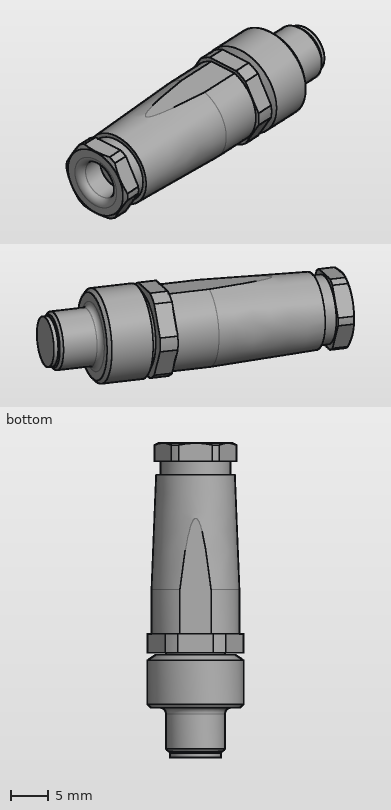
import cadquery as cq

LENGTH = 42.35

CABLE_NUT_TOP = 2.5
SLEEVE_BOTTOM = 4.28
SLEEVE_TAPER_TOP = 19.7
COLLAR_BOTTOM = 25.7
COLLAR_TOP = 28.25
RING_BOTTOM = 28.5
RING_TOP = 35.65
PLUG_TOP = 41.55
RIM_BOTTOM = 41.75

CABLE_NUT_DIA = 11.05
CABLE_NUT_FACE_DIA = 9.9
CABLE_NECK_DIA = 9.5
SLEEVE_SMALL_DIA = 10.65
SLEEVE_DIA = 11.85
COLLAR_DIA = 13.0
RING_DIA = 13.0
RING_BOTTOM_FACE_DIA = 10.75
PLUG_DIA = 8.0
GROOVE_DIA = 6.2
RIM_DIA = 6.9
BORE_DIA = 5.5

CABLE_NUT_FLATS = 10.1
COLLAR_FLATS = 12.1
SLEEVE_FLATS = 11.1

HEXAGON_ANGLES = (0, 60, 120)

CABLE_NUT_CHAMFER_LENGTH = 0.3
RING_BOTTOM_CHAMFER_LENGTH = 0.75
RING_TOP_CHAMFER = 0.5
PLUG_CHAMFER = 0.4
PLUG_ROOT_FILLET = 0.75
BORE_MOUTH_FILLET = 1.0
BORE_DEPTH = 4.0


def cylinder(diameter, start, end):
    """Round bar around the Y axis between two Y positions."""
    plane = cq.Workplane("XZ", origin=(0, start, 0))
    return plane.circle(diameter / 2).extrude(start - end)


def cone(start_diameter, end_diameter, start, end):
    """Truncated cone around the Y axis between two Y positions."""
    outline = [
        (0, start),
        (start_diameter / 2, start),
        (end_diameter / 2, end),
        (0, end),
    ]
    return cq.Workplane("XY").polyline(outline).close().revolve(360, (0, 0), (0, 1))


def flatten(body, across_flats, angles):
    """Keep only the material between a pair of parallel flats at each angle around Y."""
    slab = cq.Workplane("XY").box(2 * RING_DIA, 2 * LENGTH, across_flats)
    for angle in angles:
        body = body.intersect(slab.rotate((0, 0, 0), (0, 1, 0), angle))
    return body


def cable_nut():
    """Hexagon with corners rounded to a cylinder and a conical chamfer on the end."""
    blank = cylinder(CABLE_NUT_DIA, CABLE_NUT_CHAMFER_LENGTH, CABLE_NUT_TOP)
    chamfer = cone(CABLE_NUT_FACE_DIA, CABLE_NUT_DIA, 0, CABLE_NUT_CHAMFER_LENGTH)
    return flatten(blank.union(chamfer), CABLE_NUT_FLATS, HEXAGON_ANGLES)


def sleeve():
    """Grip that tapers toward the cable, with one flat above and one below."""
    taper = cone(SLEEVE_SMALL_DIA, SLEEVE_DIA, SLEEVE_BOTTOM, SLEEVE_TAPER_TOP)
    straight = cylinder(SLEEVE_DIA, SLEEVE_TAPER_TOP, COLLAR_BOTTOM)
    return flatten(taper.union(straight), SLEEVE_FLATS, [0])


def collar():
    """Hexagonal collar with corners rounded to a cylinder."""
    blank = cylinder(COLLAR_DIA, COLLAR_BOTTOM, COLLAR_TOP)
    return flatten(blank, COLLAR_FLATS, HEXAGON_ANGLES)


def coupling_ring():
    """Plain ring with a long chamfer below and a short one above."""
    chamfer_end = RING_BOTTOM + RING_BOTTOM_CHAMFER_LENGTH
    lower = cone(RING_BOTTOM_FACE_DIA, RING_DIA, RING_BOTTOM, chamfer_end)
    upper = cylinder(RING_DIA, chamfer_end, RING_TOP).faces(">Y").chamfer(RING_TOP_CHAMFER)
    return lower.union(upper)


def plug():
    """Plug barrel flaring into the ring, with a groove and a thin rim at its tip."""
    barrel = cylinder(PLUG_DIA, COLLAR_TOP, PLUG_TOP).faces(">Y").chamfer(PLUG_CHAMFER)
    groove = cylinder(GROOVE_DIA, PLUG_TOP, RIM_BOTTOM)
    rim = cylinder(RIM_DIA, RIM_BOTTOM, LENGTH)
    radius = PLUG_DIA / 2
    flare = (
        cq.Workplane("XY")
        .moveTo(0, RING_TOP)
        .lineTo(radius + PLUG_ROOT_FILLET, RING_TOP)
        .radiusArc((radius, RING_TOP + PLUG_ROOT_FILLET), PLUG_ROOT_FILLET)
        .lineTo(0, RING_TOP + PLUG_ROOT_FILLET)
        .close()
        .revolve(360, (0, 0), (0, 1))
    )
    return barrel.union(flare).union(groove).union(rim)


def bore_cable_end(body):
    """Blind cable bore with a rounded mouth."""
    bored = body.cut(cylinder(BORE_DIA, 0, BORE_DEPTH))
    mouth = cq.selectors.RadiusNthSelector(0)
    return bored.faces("<Y").edges("%CIRCLE").edges(mouth).fillet(BORE_MOUTH_FILLET)


cable_neck = cylinder(CABLE_NECK_DIA, CABLE_NUT_TOP, SLEEVE_BOTTOM)
connector = cable_nut().union(cable_neck)
for section in (sleeve(), collar(), coupling_ring(), plug()):
    connector = connector.union(section)

result = bore_cable_end(connector)